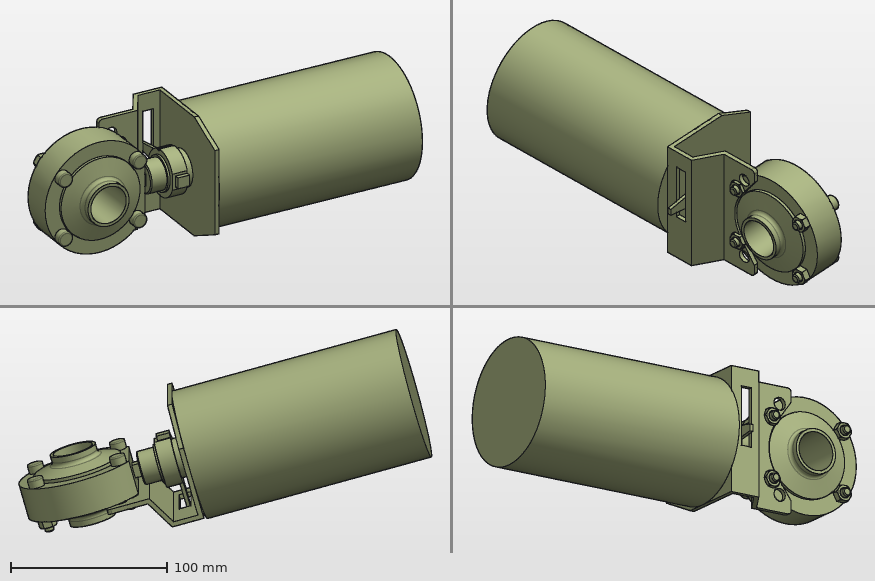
import cadquery as cq
import math

total_length = 259.7

flange_radius = 39.5
flange_half_width = 11.3
flange_flat_y = 33.8
boss_radius = 58.0 / 2
boss_end_x = 13.5
cone_small_radius = 34.0 / 2
cone_end_x = 17.0
pipe_radius = 30.0 / 2
pipe_start_x = 20.0
pipe_end_x = 24.0
bore_radius = 26.0 / 2
stem_side = 8.5

bolt_y = 27.3
bolt_z = 21.0
bolt_diameter = 6.0
bolt_tip_x = -19.2
bolt_tip_chamfer = 0.8
head_diameter = 10.0
head_height = 5.7
head_fillet = 0.8
nut_across_flats = 10.0
nut_thickness = 4.7
nut_countersink_diameter = 7.0
nut_bevel = 0.65

actuator_diameter = 85.0
actuator_start_y = 71.1
neck_diameter = 26.0
collar_top_y = 62.5
collar_bottom_y = 51.7
collar_radius = 16.4
collar_flat_x = 15.3
lug_end_x = 18.5
lug_bottom_y = 54.0
lug_width = 7.8
shoulder_diameter = 25.0
shoulder_bottom_y = 50.0
coupling_diameter = 22.0
coupling_bottom_y = 38.5
coupling_chamfer = 0.8
groove_width = 2.3
groove_depth = 1.3
groove_offset = 3.0
pointer_tip_x = -41.8
pointer_tip_half_width = 2.3
pointer_root_half_width = 8.8
pointer_thickness = 2.3

sheet = 3.0
bracket_height = actuator_diameter
leg_x = -33.2
plate_end_x = 41.8
plate_taper_x = 14.8
plate_end_half_height = 30.0
upper_bend_y = 50.0
lower_bend_y = 39.2
foot_end_y = 12.7
foot_corner_radius = 2.5
cutout_radius = 29.9
cutout_angle = math.radians(36)
nut_hole_diameter = 12.0
spare_hole_diameter = 8.5
spare_hole_y = 21.5
spare_hole_z = 30.6
slot_low_y, slot_high_y = 55.5, 63.4
slot_low_z, slot_high_z = -9.9, 30.0

bolt_places = [(y, z) for y in (-bolt_y, bolt_y) for z in (-bolt_z, bolt_z)]


def rod_x(radius, start_x, end_x, y=0.0, z=0.0):
    """Cylinder along X between two X positions."""
    return cq.Workplane("YZ", origin=(start_x, y, z)).circle(radius).extrude(end_x - start_x)


def rod_y(radius, start_y, end_y):
    """Cylinder on the Y axis between two Y positions."""
    return cq.Workplane("XZ", origin=(0, start_y, 0)).circle(radius).extrude(start_y - end_y)


def block(x_range, y_range, z_range):
    """Box between the two ends given for each axis."""
    ranges = (x_range, y_range, z_range)
    size = [high - low for low, high in ranges]
    middle = [(high + low) / 2 for low, high in ranges]
    return cq.Workplane("XY").box(*size).translate(tuple(middle))


def make_valve():
    """Flanged disc with a boss, cone and pipe end on each side, and a square stem."""
    right_half = (
        cq.Workplane("XY")
        .moveTo(0, bore_radius)
        .lineTo(0, flange_radius)
        .lineTo(flange_half_width, flange_radius)
        .lineTo(flange_half_width, boss_radius)
        .lineTo(boss_end_x, boss_radius)
        .lineTo(cone_end_x, cone_small_radius)
        .tangentArcPoint((pipe_start_x, pipe_radius), relative=False)
        .lineTo(pipe_end_x, pipe_radius)
        .lineTo(pipe_end_x, bore_radius)
        .close()
        .revolve(360, (0, 0, 0), (1, 0, 0))
    )
    valve = right_half.union(right_half.mirror("YZ"))

    width = (-flange_half_width, flange_half_width)
    height = (-flange_radius, flange_radius)
    valve = valve.cut(block(width, (flange_flat_y, flange_radius), height))

    half_side = stem_side / 2
    stem_range = (-half_side, half_side)
    valve = valve.union(block(stem_range, (flange_flat_y, coupling_bottom_y), stem_range))

    for y, z in bolt_places:
        hole = rod_x(bolt_diameter / 2, -flange_half_width, flange_half_width, y, z)
        valve = valve.cut(hole)
    return valve


def make_nut():
    """Hexagon nut on the X axis, bevelled and countersunk on its outer face."""
    face_x = -flange_half_width - nut_thickness
    corner_diameter = nut_across_flats / math.cos(math.pi / 6)
    hexagon = (
        cq.Workplane("YZ", origin=(face_x, 0, 0)).polygon(6, corner_diameter).extrude(nut_thickness)
    )
    envelope = rod_x(corner_diameter / 2, face_x, -flange_half_width).faces("<X").chamfer(nut_bevel)
    countersink_depth = (nut_countersink_diameter - bolt_diameter) / 2
    countersink = (
        cq.Workplane("YZ", origin=(face_x, 0, 0))
        .circle(nut_countersink_diameter / 2)
        .workplane(offset=countersink_depth)
        .circle(bolt_diameter / 2)
        .loft()
    )
    return hexagon.intersect(envelope).cut(countersink)


def make_bolt(y, z):
    """Round-headed bolt together with its nut."""
    head = rod_x(head_diameter / 2, flange_half_width, flange_half_width + head_height)
    head = head.faces(">X").edges().fillet(head_fillet)
    shank = rod_x(bolt_diameter / 2, bolt_tip_x, flange_half_width)
    shank = shank.faces("<X").chamfer(bolt_tip_chamfer)
    return make_nut().union(shank).union(head).translate((0, y, z))


def make_collar():
    """Indicator collar with a flat and lug on one side, two grooves and a pointer."""
    collar_range = (collar_bottom_y, collar_top_y)
    collar = rod_y(collar_radius, *collar_range)
    full_width = (-collar_radius, collar_radius)
    collar = collar.cut(block((collar_flat_x, collar_radius), collar_range, full_width))

    groove_range = (groove_offset - groove_width / 2, groove_offset + groove_width / 2)
    mirrored_range = (-groove_range[1], -groove_range[0])
    groove_floor = collar_radius - groove_depth
    collar = collar.cut(block(mirrored_range, collar_range, (groove_floor, collar_radius)))
    collar = collar.cut(block((-collar_radius, -groove_floor), collar_range, groove_range))

    lug_range = (-lug_width / 2, lug_width / 2)
    collar = collar.union(block((0, lug_end_x), (lug_bottom_y, collar_top_y), lug_range))

    pointer = (
        cq.Workplane("XZ", origin=(0, collar_top_y, 0))
        .polyline([
            (0, -pointer_root_half_width),
            (pointer_tip_x, -pointer_tip_half_width),
            (pointer_tip_x, pointer_tip_half_width),
            (0, pointer_root_half_width),
        ])
        .close()
        .extrude(pointer_thickness)
    )
    return collar.union(pointer)


def make_actuator():
    """Drive cylinder with its neck, indicator collar and coupling."""
    actuator = rod_y(actuator_diameter / 2, actuator_start_y, total_length - flange_radius)
    neck = rod_y(neck_diameter / 2, collar_top_y, actuator_start_y)
    shoulder = rod_y(shoulder_diameter / 2, shoulder_bottom_y, collar_bottom_y)
    coupling = rod_y(coupling_diameter / 2, coupling_bottom_y, shoulder_bottom_y)
    coupling = coupling.faces("<Y").chamfer(coupling_chamfer)
    return actuator.union(neck).union(make_collar()).union(shoulder).union(coupling)


def make_bracket():
    """Bent sheet bracket: end plate, leg, sloping web and a foot against the flange."""
    half_height = bracket_height / 2
    foot_inner_x = -flange_half_width
    foot_outer_x = foot_inner_x - sheet

    slope_angle = math.atan2(foot_outer_x - leg_x, upper_bend_y - lower_bend_y)
    bend_shift = sheet * math.tan(slope_angle / 2)
    bracket = (
        cq.Workplane("XY", origin=(0, 0, -half_height))
        .polyline([
            (plate_end_x, actuator_start_y),
            (leg_x, actuator_start_y),
            (leg_x, upper_bend_y),
            (foot_outer_x, lower_bend_y),
            (foot_outer_x, foot_end_y),
            (foot_inner_x, foot_end_y),
            (foot_inner_x, lower_bend_y + bend_shift),
            (leg_x + sheet, upper_bend_y + bend_shift),
            (leg_x + sheet, actuator_start_y - sheet),
            (plate_end_x, actuator_start_y - sheet),
        ])
        .close()
        .extrude(bracket_height)
    )
    bracket = bracket.edges("|X and <Y").fillet(foot_corner_radius)

    for side in (-1, 1):
        corner = (
            cq.Workplane("XZ", origin=(0, actuator_start_y, 0))
            .polyline([
                (plate_taper_x, side * half_height),
                (plate_end_x, side * half_height),
                (plate_end_x, side * plate_end_half_height),
            ])
            .close()
            .extrude(sheet)
        )
        bracket = bracket.cut(corner)

    bracket = bracket.cut(rod_y(neck_diameter / 2, actuator_start_y - sheet, actuator_start_y))

    tangent_y = cutout_radius * math.cos(cutout_angle)
    tangent_z = cutout_radius * math.sin(cutout_angle)
    mouth_z = tangent_z + (tangent_y - foot_end_y) / math.tan(cutout_angle)
    cutout = (
        cq.Workplane("YZ", origin=(foot_outer_x, 0, 0))
        .moveTo(foot_end_y, -mouth_z)
        .lineTo(tangent_y, -tangent_z)
        .threePointArc((cutout_radius, 0), (tangent_y, tangent_z))
        .lineTo(foot_end_y, mouth_z)
        .close()
        .extrude(sheet)
    )
    bracket = bracket.cut(cutout)

    for side in (-1, 1):
        nut_hole = rod_x(
            nut_hole_diameter / 2, foot_outer_x, foot_inner_x, bolt_y, side * bolt_z
        )
        spare_hole = rod_x(
            spare_hole_diameter / 2, foot_outer_x, foot_inner_x, spare_hole_y, side * spare_hole_z
        )
        bracket = bracket.cut(nut_hole).cut(spare_hole)

    slot = block((leg_x, leg_x + sheet), (slot_low_y, slot_high_y), (slot_low_z, slot_high_z))
    return bracket.cut(slot)


valve = make_valve()
bolts = [make_bolt(y, z) for y, z in bolt_places]
actuator = make_actuator()
bracket = make_bracket()

result = cq.Compound.makeCompound(
    [valve.val(), *[bolt.val() for bolt in bolts], actuator.val(), bracket.val()]
)